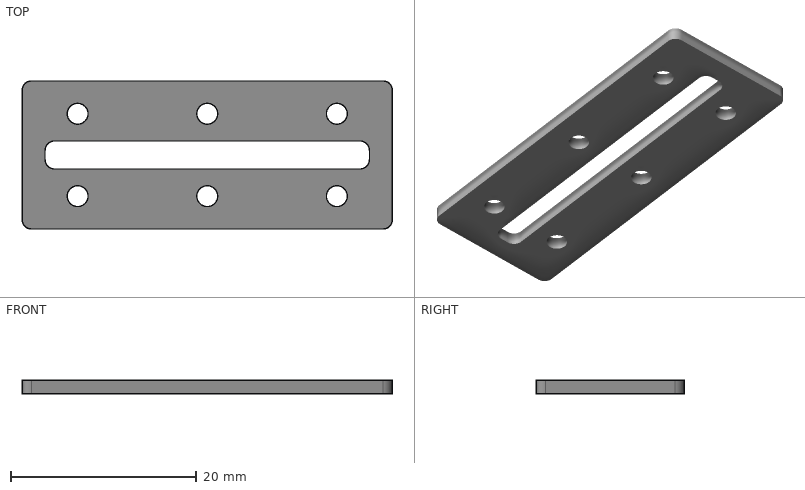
import cadquery as cq

length = 40.0
width = 16.0
thickness = 1.5
corner_radius = 1.0

end_margin = 2.5
slot_length = length - 2 * end_margin
slot_width = 3.0
slot_corner_radius = 1.0

hole_diameter = 2.23
hole_columns = 3
hole_rows = 2
column_pitch = 14.0
row_pitch = 8.9


def rounded_block(size_x, size_y, radius):
    """Block of plate thickness, centred on the origin, with rounded vertical edges."""
    block = cq.Workplane("XY").box(size_x, size_y, thickness)
    return block.edges("|Z").fillet(radius)


def cut_mounting_holes(plate):
    """Drill the grid of mounting holes through the plate."""
    return (
        plate.faces(">Z")
        .workplane()
        .rarray(column_pitch, row_pitch, hole_columns, hole_rows)
        .hole(hole_diameter)
    )


plate = rounded_block(length, width, corner_radius)
slot = rounded_block(slot_length, slot_width, slot_corner_radius)
result = cut_mounting_holes(plate.cut(slot))